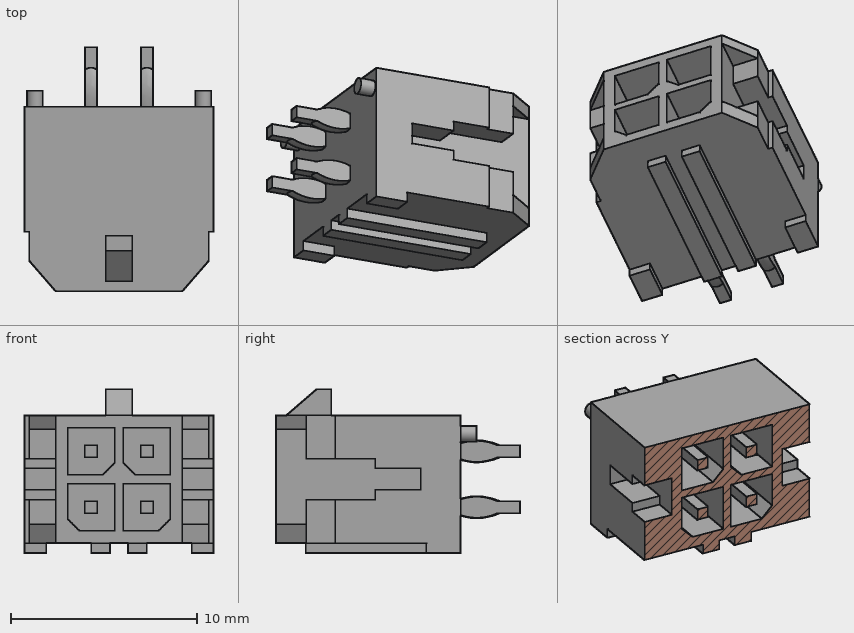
import cadquery as cq


total_length = 13.09
width = 10.15
housing_height = 6.86
housing_length = 9.91

side_step = 0.25
step_y = 3.18
chamfer_y = 1.64
face_width = 6.81

lower_lip = 1.02
upper_lip = 0.73
recess_z = 3.44
wide_slot_height = 2.2
wide_slot_end_y = 5.31
narrow_slot_height = 1.15
narrow_slot_end_y = 7.78

pitch = 3.0
contact_mid_z = 3.43
cavity_size = 2.53
cavity_chamfer = 0.64
cavity_depth = 7.98
pin_size = 0.65
pin_start_y = 2.0

bulge_end_y = 11.99
bulge_peak_y = 10.84
bulge_peak_half = 0.6
bulge_root_half = 0.47
crown_radius = 1.31

latch_width = 1.44
latch_height = 1.4
latch_front_y = 0.55
latch_crest_y = 2.17
latch_back_y = 2.97

peg_diameter = 0.86
peg_length = 0.85
peg_x = 4.52
peg_z = 5.86

foot_height = 0.54
foot_width = 1.18
foot_start_y = 8.06
rail_width = 1.02
rail_spacing = 1.96
rail_start_y = 1.6

half_width = width / 2
half_nose = half_width - side_step
half_face = face_width / 2
half_pin = pin_size / 2
columns = (-1, 1)
rows = (-1, 1)
sides = (-1, 1)


def block(x_range, y_range, z_range):
    """Box spanning the given ranges."""
    x0, x1 = sorted(x_range)
    y0, y1 = y_range
    z0, z1 = z_range
    return cq.Workplane("XY").box(x1 - x0, y1 - y0, z1 - z0, centered=False).translate((x0, y0, z0))


def housing_body():
    right_side = [
        (half_face, 0),
        (half_nose, chamfer_y),
        (half_nose, step_y),
        (half_width, step_y),
        (half_width, housing_length),
    ]
    left_side = [(-x, y) for x, y in reversed(right_side)]
    return cq.Workplane("XY").polyline(right_side + left_side).close().extrude(housing_height)


def side_recess(side):
    """Nose pocket and two slot steps, all down to the depth of the mating face edge."""
    x_range = (side * half_face, side * half_width)

    def slot(height, end_y):
        return block(x_range, (0, end_y), (recess_z - height / 2, recess_z + height / 2))

    pocket = block(x_range, (0, chamfer_y), (lower_lip, housing_height - upper_lip))
    wide_slot = slot(wide_slot_height, wide_slot_end_y)
    narrow_slot = slot(narrow_slot_height, narrow_slot_end_y)
    return pocket.union(wide_slot).union(narrow_slot)


def contact_centre(column, row):
    return column * pitch / 2, contact_mid_z + row * pitch / 2


def cavity(column, row):
    """Square cavity keyed by chamfered lower corners: inner in the top row, outer in the bottom row."""
    x, z = contact_centre(column, row)
    half = cavity_size / 2
    keyed_side = -column * row
    outline = [
        (-keyed_side * half, -half),
        (keyed_side * (half - cavity_chamfer), -half),
        (keyed_side * half, cavity_chamfer - half),
        (keyed_side * half, half),
        (-keyed_side * half, half),
    ]
    prism = cq.Workplane("XZ").polyline(outline).close().extrude(-cavity_depth)
    return prism.translate((x, 0, z))


def crown(direction):
    """Barrel about a Y axis offset from the contact, leaving a crowned face up (1) or down (-1)."""
    axis_offset = crown_radius - bulge_peak_half
    profile = (
        cq.Workplane("XY")
        .moveTo(0, housing_length)
        .lineTo(axis_offset + bulge_root_half, housing_length)
        .spline(
            [(crown_radius, bulge_peak_y), (axis_offset + half_pin, bulge_end_y)],
            includeCurrent=True,
        )
        .lineTo(0, bulge_end_y)
        .close()
    )
    barrel = profile.revolve(360, (0, 0, 0), (0, 1, 0))
    return barrel.translate((0, 0, -direction * axis_offset))


def contact():
    """Square pin along Y with a flat-sided bulge just behind the housing."""
    half_span = (-half_pin, half_pin)
    pin = block(half_span, (pin_start_y, total_length), half_span)
    flat_sides = block(half_span, (housing_length, bulge_end_y), (-crown_radius, crown_radius))
    bulge = crown(1).intersect(crown(-1)).intersect(flat_sides)
    return pin.union(bulge)


def latch():
    profile = [
        (latch_front_y, 0),
        (latch_crest_y, latch_height),
        (latch_back_y, latch_height),
        (latch_back_y, 0),
    ]
    ramp = cq.Workplane("YZ").polyline(profile).close().extrude(latch_width / 2, both=True)
    return ramp.translate((0, 0, housing_height))


def peg(side):
    cylinder = cq.Workplane("XZ").circle(peg_diameter / 2).extrude(-peg_length)
    return cylinder.translate((side * peg_x, housing_length, peg_z))


def underside_supports(side):
    z_range = (-foot_height, 0)
    foot_x = (side * (half_width - foot_width), side * half_width)
    foot = block(foot_x, (foot_start_y, housing_length), z_range)
    rail_x = side * rail_spacing / 2
    rail = block((rail_x - rail_width / 2, rail_x + rail_width / 2), (rail_start_y, housing_length), z_range)
    return foot.union(rail)


result = housing_body().union(latch())

for side in sides:
    result = result.cut(side_recess(side))
    result = result.union(peg(side)).union(underside_supports(side))

for column in columns:
    for row in rows:
        x, z = contact_centre(column, row)
        result = result.cut(cavity(column, row))
        result = result.union(contact().translate((x, 0, z)))